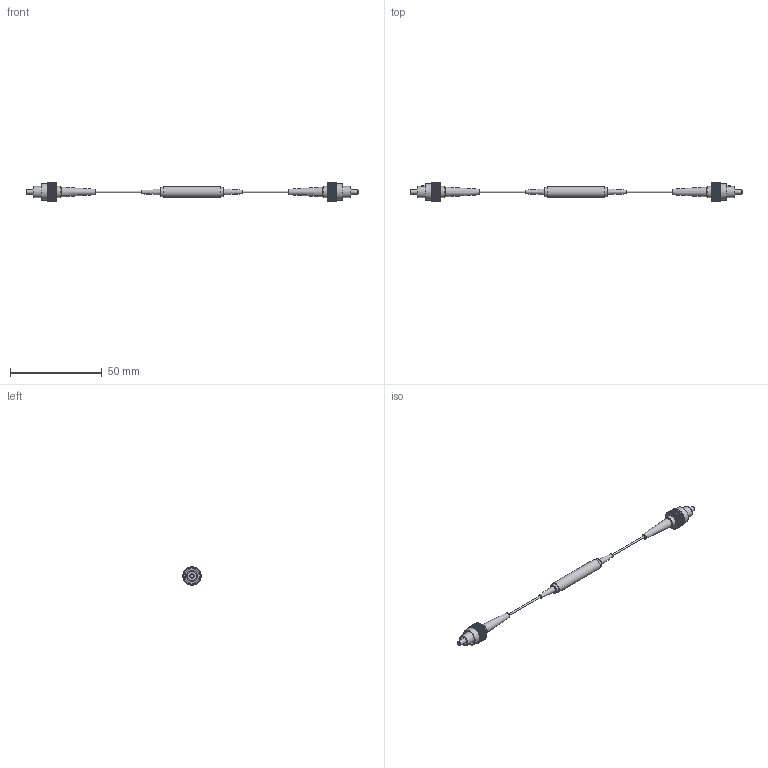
import cadquery as cq
import math

overall_length = 180.57
half_length = overall_length / 2

housing_diameter = 5.8
housing_length = 31.5
cap_diameter = 5.0
cap_length = 1.63
sleeve_length = 10.1
sleeve_root_diameter = 3.2
sleeve_tip_diameter = 2.0

fiber_diameter = 0.9

ferrule_diameter = 2.5
ferrule_length = 3.9
ferrule_tip_chamfer = 0.4
barrel_diameter = 6.0
barrel_length = 4.4
barrel_bore_diameter = 5.0
barrel_bore_depth = 5.0
collar_diameter = 9.0
collar_length = 3.4
collar_recess_diameter = 8.0
collar_recess_depth = 2.0
knurl_diameter = 10.0
knurl_length = 5.0
knurl_depth = 0.3
knurl_teeth = 96
neck_diameter = 6.0
neck_length = 2.6

key_width = 2.0
key_length = 2.1
key_height = 0.6

boot_root_diameter = 5.3
boot_tip_diameter = 3.0
boot_length = 18.5

neck_chamfer = (neck_diameter - boot_root_diameter) / 2

cap_end = housing_length / 2 + cap_length
sleeve_end = cap_end + sleeve_length
connector_length = ferrule_length + barrel_length + collar_length + knurl_length + neck_length
boot_root = half_length - connector_length
boot_tip = boot_root - boot_length


def cylinder(start, length, diameter):
    """Cylinder on the X axis, growing towards +X."""
    return cq.Workplane("YZ").workplane(offset=start).circle(diameter / 2).extrude(length)


def cone(start, length, start_diameter, end_diameter):
    """Cone frustum on the X axis, growing towards +X."""
    return (
        cq.Workplane("YZ")
        .workplane(offset=start)
        .circle(start_diameter / 2)
        .workplane(offset=length)
        .circle(end_diameter / 2)
        .loft(ruled=True)
    )


def make_housing():
    """Tube, end caps and tapered sleeves."""
    body = cylinder(-housing_length / 2, housing_length, housing_diameter)
    body = body.union(cylinder(-cap_end, 2 * cap_end, cap_diameter))
    sleeve = cone(cap_end, sleeve_length, sleeve_root_diameter, sleeve_tip_diameter)
    return body.union(sleeve).union(sleeve.mirror("YZ"))


def make_knurl(start):
    """Ring with straight V-shaped teeth all round."""
    crest_radius = knurl_diameter / 2
    root_radius = crest_radius - knurl_depth
    half_pitch = math.pi / knurl_teeth
    points = []
    for step in range(2 * knurl_teeth):
        radius = crest_radius if step % 2 == 0 else root_radius
        angle = step * half_pitch
        points.append((radius * math.cos(angle), radius * math.sin(angle)))
    return cq.Workplane("YZ").workplane(offset=start).polyline(points).close().extrude(knurl_length)


def make_connector():
    """Neck, knurled nut, recessed collar, hollow keyed barrel and ferrule of the +X connector."""
    knurl_start = boot_root + neck_length
    collar_start = knurl_start + knurl_length
    barrel_start = collar_start + collar_length
    ferrule_start = barrel_start + barrel_length
    key_top = barrel_diameter / 2 + key_height
    key = (
        cq.Workplane("XY")
        .box(key_length, key_top, key_width, centered=(False, False, True))
        .translate((barrel_start, 0, 0))
    )
    neck = cylinder(boot_root, neck_length, neck_diameter).faces("<X").chamfer(neck_chamfer)
    collar = cylinder(collar_start, collar_length, collar_diameter)
    recess_start = barrel_start - collar_recess_depth
    collar = collar.cut(cylinder(recess_start, collar_recess_depth, collar_recess_diameter))
    barrel = cylinder(recess_start, barrel_length + collar_recess_depth, barrel_diameter)
    bore_start = ferrule_start - barrel_bore_depth
    bore = cylinder(bore_start, barrel_bore_depth, barrel_bore_diameter)
    ferrule = cylinder(bore_start, barrel_bore_depth + ferrule_length, ferrule_diameter)
    ferrule = ferrule.faces(">X").chamfer(ferrule_tip_chamfer)
    return (
        neck.union(make_knurl(knurl_start))
        .union(collar)
        .union(barrel)
        .union(key)
        .cut(bore)
        .union(ferrule)
    )


def make_boot():
    """Tapered boot of the +X connector."""
    return cone(boot_tip, boot_length, boot_tip_diameter, boot_root_diameter)


def make_fiber():
    """Fiber on the +X side."""
    return cylinder(sleeve_end, boot_tip - sleeve_end, fiber_diameter)


bodies = [make_housing().val()]
for make_body in (make_fiber, make_boot, make_connector):
    body = make_body()
    bodies += [body.val(), body.mirror("YZ").val()]

result = cq.Compound.makeCompound(bodies)